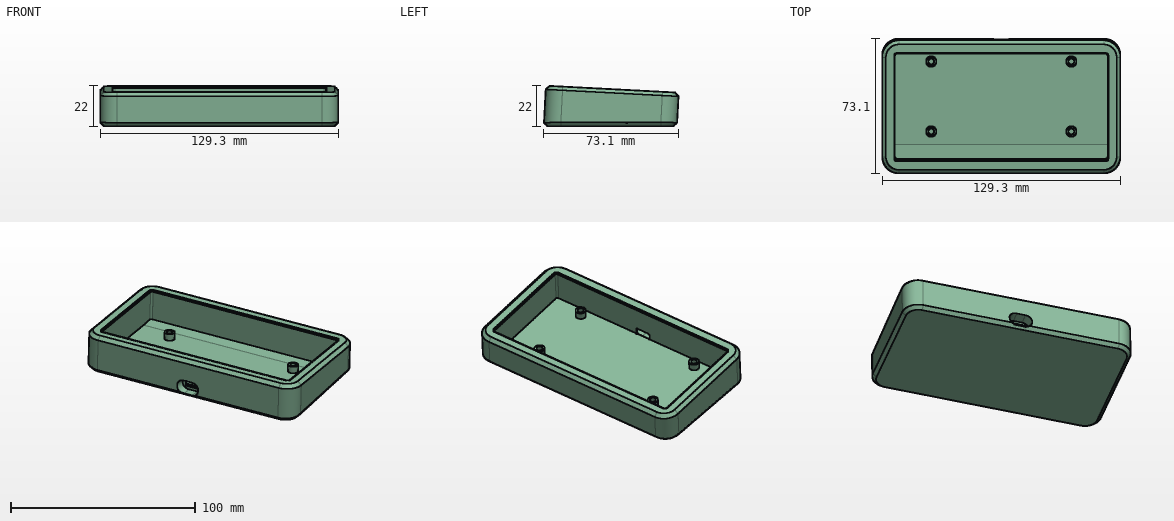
import cadquery as cq
import math

length = 129.3
depth = 72.3
tilt = 3.0
corner_radius = 9.0
edge_chamfer = 2.1
rim_back_height = 22.0
rim_center_y = -0.58

cavity_length = 115.3
cavity_depth = 57.8
cavity_corner_radius = 1.0
cavity_chamfer = 0.5
floor_below_rim = 18.1
base_thickness = 1.01

boss_diameter = 5.5
boss_hole_diameter = 3.2
boss_height = 3.9
boss_spacing = 38.0
boss_half_span = 38.0
boss_center_y = 4.9

port_width = 9.0
port_height = 4.7
port_corner_radius = 1.0
port_center_above_floor = 1.4
port_web = 1.0
recess_width = 12.9
recess_height = 8.0

tilt_angle = math.radians(tilt)
rim_half_depth = depth / 2 - edge_chamfer
rim_center_z = rim_back_height - rim_half_depth * math.sin(tilt_angle)
blank_height = rim_back_height + edge_chamfer


def to_level(shape):
    """Move a shape from the tilted frame, centred on the rim, onto the level base."""
    return shape.rotate((0, 0, 0), (1, 0, 0), tilt).translate((0, rim_center_y, rim_center_z))


def space_above(height):
    """Large block filling everything above a level height."""
    size = 2 * length
    return cq.Workplane("XY").workplane(offset=height).rect(size, size).extrude(size)


def make_body():
    blank = (
        cq.Workplane("XY")
        .rect(length, depth)
        .extrude(-blank_height)
        .edges("|Z")
        .fillet(corner_radius)
        .faces(">Z")
        .chamfer(edge_chamfer)
    )
    leveled = to_level(blank).intersect(space_above(0))
    return leveled.faces("<Z").chamfer(edge_chamfer)


def make_cavity():
    pocket = (
        cq.Workplane("XY")
        .rect(cavity_length, cavity_depth)
        .extrude(-floor_below_rim)
        .edges("|Z")
        .fillet(cavity_corner_radius)
    )
    mouth = (
        cq.Workplane("XY")
        .rect(cavity_length + 2 * cavity_chamfer, cavity_depth + 2 * cavity_chamfer)
        .extrude(-2 * cavity_chamfer)
        .edges("|Z")
        .fillet(cavity_corner_radius + cavity_chamfer)
        .faces("<Z")
        .chamfer(cavity_chamfer)
    )
    return to_level(pocket.union(mouth)).intersect(space_above(base_thickness))


def boss_cylinders(diameter):
    centers = [
        (x, boss_center_y + y)
        for x in (-boss_half_span, boss_half_span)
        for y in (-boss_spacing / 2, boss_spacing / 2)
    ]
    return (
        cq.Workplane("XY")
        .workplane(offset=-floor_below_rim)
        .pushPoints(centers)
        .circle(diameter / 2)
        .extrude(boss_height)
    )


def make_port():
    def port_plane(y):
        """Sketch plane parallel to the back wall, facing outward."""
        origin = (0, y, port_center_above_floor - floor_below_rim)
        return cq.Workplane(cq.Plane(origin, xDir=(1, 0, 0), normal=(0, 1, 0)))

    inner_wall_y = cavity_depth / 2
    wall = (depth - cavity_depth) / 2
    window = (
        port_plane(inner_wall_y)
        .rect(port_width, port_height)
        .extrude(wall)
        .edges("|Y")
        .fillet(port_corner_radius)
    )
    recess = port_plane(inner_wall_y + port_web).slot2D(recess_width, recess_height).extrude(wall)
    return to_level(window.union(recess))


bosses = to_level(boss_cylinders(boss_diameter))
boss_holes = to_level(boss_cylinders(boss_hole_diameter))
result = make_body().cut(make_cavity()).union(bosses).cut(boss_holes).cut(make_port())